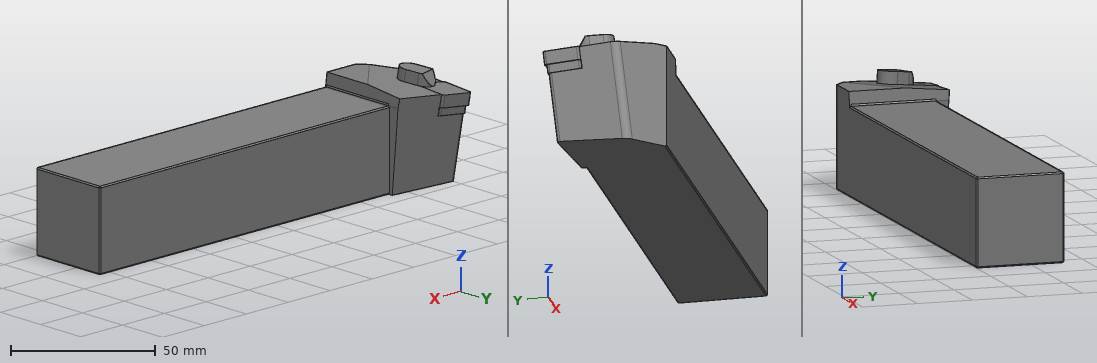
import cadquery as cq
import math

length = 170.0
shank_size = 32.0
shank_chamfer = 0.5

head_height = 37.0
head_max_y = 51.0
nose_cut_x = 17.5
rear_top_x = 31.0
rear_foot_x = 31.6
rear_fillet = 0.7

fold_x = 10.5
tilt_angle = 8.0
lead_angle = 5.0
prism_depth = 76.5
prism_reach = 102.0
tip_edge_radius = 1.0
nose_edge_radius = 5.1

insert_side = 12.8
insert_thickness = 4.8
insert_radius = 0.8
insert_corner_x = -0.3
insert_corner_y = 40.3
shim_thickness = 3.0
shim_inset = 0.6
head_inset = 0.8

clamp_x = 11.5
clamp_y = 21.2
clamp_radius = 4.34
clamp_reach = 5.1
clamp_height = 4.5
clamp_angle = 20.0
bevel_start = 6.3


def tilt(body):
    """Tilt a body about the fold line, so its z = 0 plane becomes the tilted top."""
    raised = body.translate((0, 0, head_height))
    axis_start = (fold_x, 0, head_height)
    axis_end = (fold_x + 1.7, 1.7, head_height)
    return raised.rotate(axis_start, axis_end, -tilt_angle)


def tip_point(inset, along_top, along_left):
    """Point reached from the outer corner of the tip along its two sides, before the tilt.

    The inset moves the corner inward by that distance from both sides.
    """
    lead = math.radians(lead_angle)
    inset_run = inset / math.cos(2 * lead)
    top_run = along_top + inset_run
    left_run = along_left + inset_run
    x = insert_corner_x + top_run * math.cos(lead) + left_run * math.sin(lead)
    y = insert_corner_y - top_run * math.sin(lead) - left_run * math.cos(lead)
    return x, y


def tip_rhombus(inset, start, end, top, thickness):
    """Plate with sides parallel to the tip sides, between two distances from the corner."""
    corners = [
        tip_point(inset, start, start),
        tip_point(inset, end, start),
        tip_point(inset, end, end),
        tip_point(inset, start, end),
    ]
    return cq.Workplane("XY", origin=(0, 0, top - thickness)).polyline(corners).close().extrude(thickness)


def rounded_plate(inset, top, thickness):
    """Rhombic plate with rounded corners, ending flush with the pocket walls."""
    inset_run = inset / math.cos(math.radians(2 * lead_angle))
    plate = tip_rhombus(inset, 0, insert_side - inset_run, top, thickness)
    return tilt(plate.edges("|Z").fillet(insert_radius))


def make_shank():
    return (
        cq.Workplane("XY", origin=(rear_top_x, 0, 0))
        .box(length - rear_top_x, shank_size, shank_size, centered=False)
        .edges("|X or >X").chamfer(shank_chamfer)
    )


def make_head():
    head = (
        cq.Workplane("XZ")
        .moveTo(-nose_cut_x, 0)
        .lineTo(rear_foot_x, 0)
        .lineTo(rear_foot_x, shank_size)
        .lineTo(rear_top_x, head_height)
        .lineTo(-nose_cut_x, head_height)
        .close()
        .extrude(-head_max_y)
        .edges("<Y and <Z").chamfer(shank_chamfer)
    )
    turn = math.tan(math.radians(lead_angle))
    tip_x, tip_y = tip_point(head_inset, 0, 0)
    left_run = (tip_x + tip_y - nose_cut_x) / (1 - turn)
    nose_x = tip_x + left_run * turn
    nose_y = tip_y - left_run
    far_x = tip_x + prism_reach
    prism = (
        cq.Workplane("XY", origin=(0, 0, -prism_depth))
        .moveTo(tip_x, tip_y)
        .lineTo(nose_x, nose_y)
        .lineTo(far_x, nose_cut_x - far_x)
        .lineTo(far_x, tip_y - turn * prism_reach)
        .close()
        .extrude(prism_depth)
    )
    prism = prism.edges("|Z and <X").fillet(tip_edge_radius)
    nose_edge = cq.selectors.NearestToPointSelector((nose_x, nose_y, -prism_depth / 2))
    prism = prism.edges(nose_edge).fillet(nose_edge_radius)
    return head.intersect(tilt(prism))


def make_rear_fillet():
    """Concave fillet between the rear face of the head and the top of the shank."""
    return (
        cq.Workplane("XZ", origin=(0, shank_chamfer, 0))
        .moveTo(rear_foot_x, shank_size)
        .lineTo(rear_foot_x + rear_fillet, shank_size)
        .radiusArc((rear_foot_x, shank_size + rear_fillet), rear_fillet)
        .close()
        .extrude(-(shank_size - 2 * shank_chamfer))
    )


def make_clamp():
    sweep = (
        cq.Workplane("XY")
        .moveTo(-clamp_radius, 0)
        .threePointArc((0, -clamp_radius), (clamp_radius, 0))
        .lineTo(clamp_radius, clamp_reach)
        .threePointArc((0, clamp_reach + clamp_radius), (-clamp_radius, clamp_reach))
        .close()
        .extrude(clamp_height)
    )
    nose = clamp_reach + clamp_radius
    bevel = (
        cq.Workplane("YZ", origin=(-clamp_radius, 0, 0))
        .moveTo(bevel_start, clamp_height)
        .lineTo(nose, clamp_height)
        .lineTo(nose, 0)
        .close()
        .extrude(2 * clamp_radius)
    )
    finger = sweep.cut(bevel).rotate((0, 0, 0), (0, 0, 1), clamp_angle)
    return tilt(finger.translate((clamp_x, clamp_y, 0)))


def make_pocket():
    """Open-sided recess that takes the shim and the insert."""
    depth = insert_thickness + shim_thickness
    return tilt(tip_rhombus(0, -insert_side, insert_side, 0, depth))


def make_holder():
    shim = rounded_plate(shim_inset, -insert_thickness, shim_thickness)
    body = make_head().union(make_shank()).union(make_rear_fillet())
    return body.cut(make_pocket()).union(shim).union(make_clamp())


def make_insert():
    return rounded_plate(0, 0, insert_thickness)


holder = make_holder()
insert = make_insert()

result = cq.Compound.makeCompound([holder.solids().val(), insert.solids().val()])